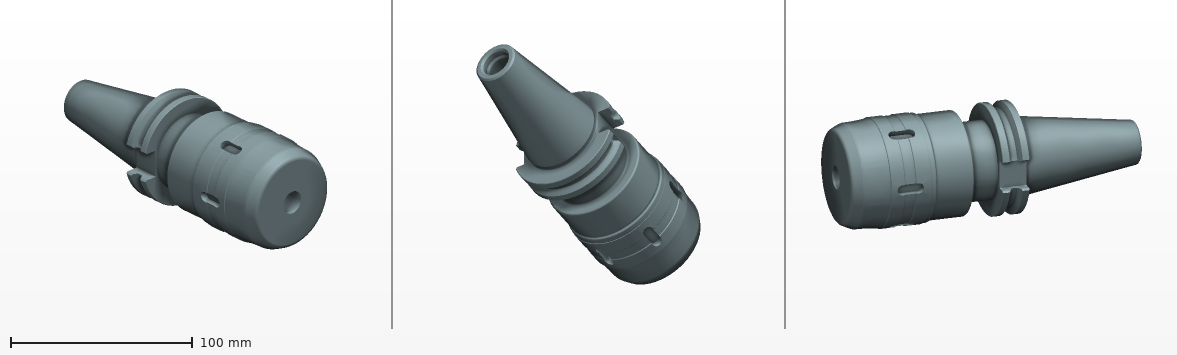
import cadquery as cq
import math


total_length = 173.8
taper_ratio = 7 / 24
taper_length = 68.1
taper_radius = 22.2
taper_tip_radius = taper_radius - taper_length * taper_ratio / 2
taper_tip_chamfer = 0.9

relief_start = 69.8
relief_radius = 21.7
relief_fillet = 0.7

flange_start = 71.4
flange_end = 87.0
flange_radius = 31.6
flange_edge_chamfer = 0.3
groove_center = 79.2
groove_floor_width = 3.5
groove_floor_radius = 28.1
groove_flank_angle = 30.0
groove_flank_width = (flange_radius - groove_floor_radius) * math.tan(math.radians(groove_flank_angle))

drive_slot_width = 16.0
drive_slot_front_floor = 22.6
drive_slot_rear_floor = 24.8
drive_slot_chamfer = 1.2
drive_slot_corner_radius = 0.3

neck_radius = taper_radius
neck_fillet = 1.2
body_start = 103.4
body_end = 125.3
body_radius = 29.5
body_edge_fillet = 1.0
nose_radius = neck_radius

bore_radius = 6.6
thread_bore_radius = 7.0
thread_bore_end = 27.8
counterbore_radius = 8.2
counterbore_depth = 4.7
counterbore_step_length = 1.0
mouth_radius = 9.2
mouth_chamfer = mouth_radius - counterbore_radius

nut_start = body_end
nut_collar_radius = 30.5
nut_collar_fillet = 0.9
band_start = 129.0
band_end = 151.9
band_diameter = 62.0
band_radius = band_diameter / 2
band_end_bevel = 0.3
crown_start_radius = 30.5
crown_end = 167.1
crown_end_radius = body_radius
crown_hollow = 0.26
nose_cone_angle = 25.0
nut_face_radius = crown_end_radius - (total_length - crown_end) * math.tan(math.radians(nose_cone_angle))
nut_edge_fillet = 2.6
crown_edge_margin = 0.2

ring_groove_center = 140.7
ring_groove_width = 6.8
ring_groove_floor_radius = nut_collar_radius
wrench_slot_count = 6
wrench_slot_length = 15.3
wrench_slot_width = 5.9
wrench_slot_floor = 26.8


def revolve_about_x(profile):
    """Turn a closed profile of (x, radius) around the X axis."""
    return profile.close().revolve(360, (0, 0, 0), (1, 0, 0))


def make_turned_holder():
    """Taper, flange, neck, body and nose, with their edge rounding."""
    relief_arc_offset = relief_fillet * (1 - math.sqrt(0.5))
    neck_arc_offset = neck_fillet * (1 - math.sqrt(0.5))
    body_arc_offset = body_edge_fillet * (1 - math.sqrt(0.5))
    groove_half_floor = groove_floor_width / 2
    groove_half_mouth = groove_half_floor + groove_flank_width
    profile = (
        cq.Workplane("XY")
        .moveTo(0, 0)
        .lineTo(0, taper_tip_radius - taper_tip_chamfer)
        .lineTo(taper_tip_chamfer, taper_tip_radius + taper_tip_chamfer * taper_ratio / 2)
        .lineTo(taper_length, taper_radius)
        .lineTo(relief_start, relief_radius)
        .lineTo(flange_start - relief_fillet, relief_radius)
        .threePointArc(
            (flange_start - relief_arc_offset, relief_radius + relief_arc_offset),
            (flange_start, relief_radius + relief_fillet),
        )
        .lineTo(flange_start, flange_radius - flange_edge_chamfer)
        .lineTo(flange_start + flange_edge_chamfer, flange_radius)
        .lineTo(groove_center - groove_half_mouth, flange_radius)
        .lineTo(groove_center - groove_half_floor, groove_floor_radius)
        .lineTo(groove_center + groove_half_floor, groove_floor_radius)
        .lineTo(groove_center + groove_half_mouth, flange_radius)
        .lineTo(flange_end - flange_edge_chamfer, flange_radius)
        .lineTo(flange_end, flange_radius - flange_edge_chamfer)
        .lineTo(flange_end, neck_radius)
        .lineTo(body_start - neck_fillet, neck_radius)
        .threePointArc(
            (body_start - neck_arc_offset, neck_radius + neck_arc_offset),
            (body_start, neck_radius + neck_fillet),
        )
        .lineTo(body_start, body_radius - body_edge_fillet)
        .threePointArc(
            (body_start + body_arc_offset, body_radius - body_arc_offset),
            (body_start + body_edge_fillet, body_radius),
        )
        .lineTo(body_end - body_edge_fillet, body_radius)
        .threePointArc(
            (body_end - body_arc_offset, body_radius - body_arc_offset),
            (body_end, body_radius - body_edge_fillet),
        )
        .lineTo(body_end, nose_radius)
        .lineTo(total_length, nose_radius)
        .lineTo(total_length, 0)
    )
    return revolve_about_x(profile)


def make_bore():
    """Through bore with a wider thread bore, a coned counterbore and a chamfered mouth at the taper end."""
    profile = (
        cq.Workplane("XY")
        .moveTo(0, 0)
        .lineTo(0, mouth_radius)
        .lineTo(mouth_chamfer, counterbore_radius)
        .lineTo(counterbore_depth, counterbore_radius)
        .lineTo(counterbore_depth + counterbore_step_length, thread_bore_radius)
        .lineTo(thread_bore_end, thread_bore_radius)
        .lineTo(thread_bore_end, bore_radius)
        .lineTo(total_length, bore_radius)
        .lineTo(total_length, 0)
    )
    return revolve_about_x(profile)


def make_drive_slot(side, floor):
    """Slot along X through the flange, on the side -1 (-Y) or +1 (+Y).

    Its mouth is flared and its floor edges are rounded.
    """
    half_width = drive_slot_width / 2
    rim = math.sqrt(flange_radius**2 - half_width**2)
    flare_start = rim - drive_slot_chamfer
    flare_end = flange_radius + drive_slot_chamfer
    flared_half_width = half_width + flare_end - flare_start
    return (
        cq.Workplane("YZ", origin=(flange_start, 0, 0))
        .polyline([
            (side * floor, -half_width),
            (side * flare_start, -half_width),
            (side * flare_end, -flared_half_width),
            (side * flare_end, flared_half_width),
            (side * flare_start, half_width),
            (side * floor, half_width),
        ])
        .close()
        .extrude(flange_end - flange_start)
        .faces("<Y" if side > 0 else ">Y")
        .edges("|X")
        .fillet(drive_slot_corner_radius)
    )


def make_holder():
    return (
        make_turned_holder()
        .cut(make_bore())
        .cut(make_drive_slot(-1, drive_slot_front_floor))
        .cut(make_drive_slot(1, drive_slot_rear_floor))
    )


def make_turned_nut():
    """Ring around the nose: collar, grooved band, hollow crown and coned end."""
    crown_start = band_end + band_end_bevel
    groove_depth = band_radius - ring_groove_floor_radius
    groove_start = ring_groove_center - ring_groove_width / 2
    groove_end = ring_groove_center + ring_groove_width / 2
    crown_middle = (
        (crown_start + crown_end) / 2,
        (crown_start_radius + crown_end_radius) / 2 - crown_hollow,
    )
    profile = (
        cq.Workplane("XY")
        .moveTo(nut_start, nose_radius)
        .lineTo(nut_start, nut_collar_radius)
        .lineTo(band_start, nut_collar_radius)
        .lineTo(band_start, band_radius)
        .lineTo(groove_start, band_radius)
        .lineTo(groove_start + groove_depth, ring_groove_floor_radius)
        .lineTo(groove_end - groove_depth, ring_groove_floor_radius)
        .lineTo(groove_end, band_radius)
        .lineTo(band_end, band_radius)
        .lineTo(crown_start, crown_start_radius)
        .threePointArc(crown_middle, (crown_end, crown_end_radius))
        .lineTo(total_length, nut_face_radius)
        .lineTo(total_length, nose_radius)
    )
    nut = revolve_about_x(profile)
    outer_edge = cq.selectors.RadiusNthSelector(-1)
    crown_plane = cq.selectors.BoxSelector(
        (crown_end - crown_edge_margin, -band_radius, -band_radius),
        (crown_end + crown_edge_margin, band_radius, band_radius),
        boundingbox=True,
    )
    nut = nut.edges(crown_plane).fillet(nut_edge_fillet)
    nut = nut.faces("<X").edges(outer_edge).fillet(nut_collar_fillet)
    return nut.faces(">X").edges(outer_edge).fillet(nut_edge_fillet)


def make_wrench_slot(angle):
    """Round-ended blind slot along X, turned about the X axis from the -Y side."""
    return (
        cq.Workplane("XZ", origin=(ring_groove_center, -wrench_slot_floor, 0))
        .slot2D(wrench_slot_length, wrench_slot_width)
        .extrude(band_radius)
        .rotate((0, 0, 0), (1, 0, 0), angle)
    )


def make_nut():
    nut = make_turned_nut()
    for index in range(wrench_slot_count):
        nut = nut.cut(make_wrench_slot(index * 360 / wrench_slot_count))
    return nut


holder = make_holder()
clamping_nut = make_nut()

result = cq.Compound.makeCompound([holder.val(), clamping_nut.val()])